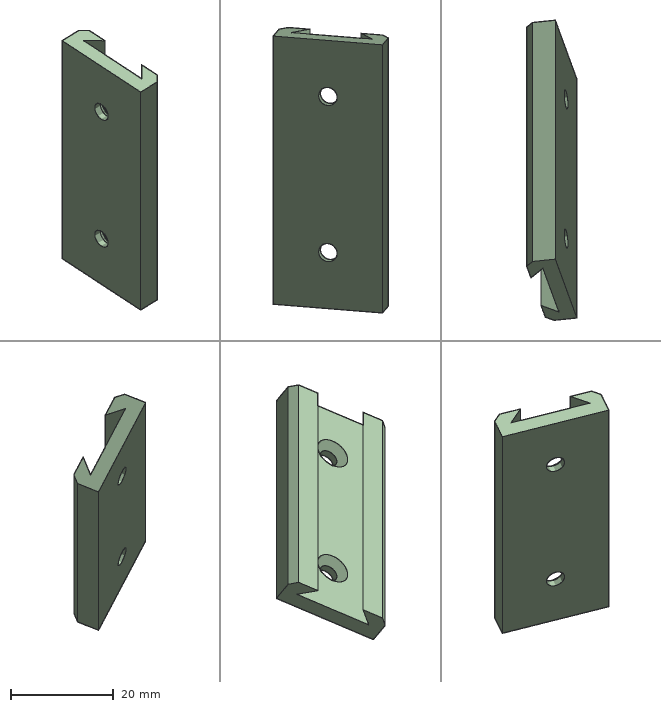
import cadquery as cq

width = 22.0
depth = 6.0
length = 55.0

floor_thickness = 3.0
channel_floor_width = 16.3
channel_mouth_width = 10.25

bevel_width = 1.5
bevel_depth = 1.5

hole_diameter = 3.7
countersink_diameter = 6.75
countersink_angle = 90
hole_spacing = 32.0
hole_center_z = length / 2

half_width = width / 2
half_floor = channel_floor_width / 2
half_mouth = channel_mouth_width / 2


def make_rail():
    """Extrude the dovetail profile, with its back on Y = 0, along Z."""
    right_half = [
        (half_width, 0),
        (half_width, depth - bevel_depth),
        (half_width - bevel_width, depth),
        (half_mouth, depth),
        (half_floor, floor_thickness),
    ]
    left_half = [(-x, y) for x, y in reversed(right_half)]
    return cq.Workplane("XY").polyline(right_half + left_half).close().extrude(length)


def cut_holes(rail):
    """Countersink two through holes from the channel floor, evenly about mid-length."""
    return (
        rail.copyWorkplane(cq.Workplane("XZ", origin=(0, floor_thickness, hole_center_z)))
        .transformed(rotate=(180, 0, 0))
        .pushPoints([(0, -hole_spacing / 2), (0, hole_spacing / 2)])
        .cskHole(hole_diameter, countersink_diameter, countersink_angle, depth=floor_thickness)
    )


result = cut_holes(make_rail())